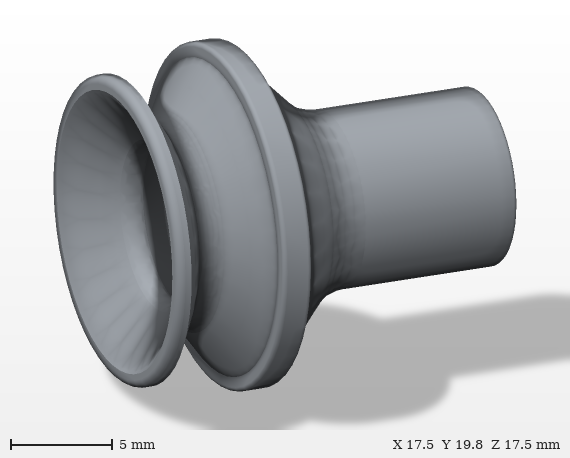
import cadquery as cq
import math


total_length = 19.8

neck_radius = 4.5
neck_rim_round = 0.2
bore_radius = 1.9

flange_radius = 8.75
flange_start = 5.3
flange_end = 6.85
flange_round = 0.22

cone_root_radius = 8.0
shoulder_angle = 45.0
shoulder_blend = 3.0

waist_corner_radius = 4.6
waist_position = 2.8
waist_blend = 0.8

lip_radius = 7.83
lip_height = 0.73
lip_round = 0.4
mouth_radius = 7.11

throat_corner_radius = 3.55
throat_position = 2.8
throat_blend = 0.8

chamber_angle = 50.0
chamber_blend = 0.5
shoulder_wall = 1.2

shoulder_slope = math.tan(math.radians(shoulder_angle))
chamber_slope = math.tan(math.radians(chamber_angle))

shoulder_corner = flange_end + (cone_root_radius - neck_radius) / shoulder_slope

wall_along_axis = shoulder_wall / math.sin(math.radians(shoulder_angle))
roof_end = shoulder_corner + (neck_radius - bore_radius) / shoulder_slope - wall_along_axis

chamber_position = (
    bore_radius
    + roof_end * shoulder_slope
    - throat_corner_radius
    + throat_position * chamber_slope
) / (shoulder_slope + chamber_slope)
chamber_radius = bore_radius + (roof_end - chamber_position) * shoulder_slope


def make_body():
    """Revolve the sharp-cornered wall section, given as (radius, Y) points."""
    outer_wall = [
        (lip_radius, 0),
        (lip_radius, lip_height),
        (waist_corner_radius, waist_position),
        (cone_root_radius, flange_start),
        (flange_radius, flange_start),
        (flange_radius, flange_end),
        (cone_root_radius, flange_end),
        (neck_radius, shoulder_corner),
        (neck_radius, total_length),
    ]
    inner_wall = [
        (bore_radius, total_length),
        (bore_radius, roof_end),
        (chamber_radius, chamber_position),
        (throat_corner_radius, throat_position),
        (mouth_radius, 0),
    ]
    section = cq.Workplane("XY").polyline(outer_wall + inner_wall).close()
    return section.revolve(360, (0, 0, 0), (0, 1, 0))


def round_edge(body, edge_radius, position, blend):
    """Fillet the circular edge that has the given radius and Y position."""
    tolerance = 0.001

    def matches(edge):
        if edge.geomType() != "CIRCLE":
            return False
        same_radius = abs(edge.radius() - edge_radius) < tolerance
        same_position = abs(edge.Center().y - position) < tolerance
        return same_radius and same_position

    edges = body.edges().filter(matches)
    return edges.fillet(blend)


edge_rounds = [
    (lip_radius, 0, lip_round),
    (waist_corner_radius, waist_position, waist_blend),
    (flange_radius, flange_start, flange_round),
    (flange_radius, flange_end, flange_round),
    (neck_radius, shoulder_corner, shoulder_blend),
    (neck_radius, total_length, neck_rim_round),
    (throat_corner_radius, throat_position, throat_blend),
    (chamber_radius, chamber_position, chamber_blend),
]

result = make_body()
for edge_radius, position, blend in edge_rounds:
    result = round_edge(result, edge_radius, position, blend)